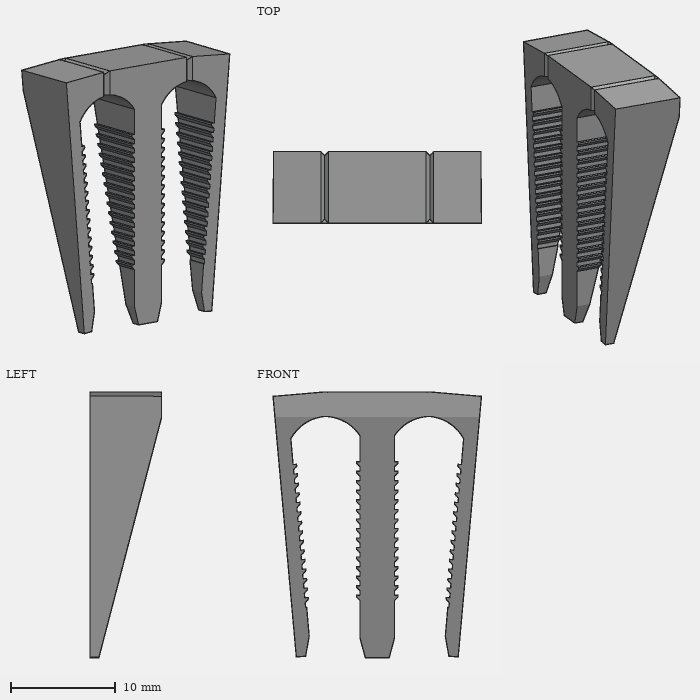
import cadquery as cq
import math

height = 25.35
half_width = 9.94
depth = 6.85

tine_half_width = 1.65
arch_half_span = 3.37
crown_depth = 2.35
spring_depth = 4.18
hinge_x = tine_half_width + arch_half_span

lean = math.radians(5.0)

outer_tine_length = 24.95
outer_tip_step = 0.1
tip_length = 1.88
tip_inset = 0.5

tooth_count = 15
toothed_length = 12.73
first_tooth_depth = 6.65
tooth_reach = 0.33
tooth_land = 0.18
tooth_pitch = toothed_length / (tooth_count - 1)

front_edge_depth = 2.43
tip_thickness = 0.85

side_draft = 0.05

groove_half_width = 0.38
groove_depth = 0.38


def leaned(x, z):
    """Turn a point of the upright outer tine inward about the arch crown."""
    dx = x - hinge_x
    dz = z + crown_depth
    return (
        hinge_x + dx * math.cos(lean) + dz * math.sin(lean),
        -crown_depth - dx * math.sin(lean) + dz * math.cos(lean),
    )


def upright(x, z):
    """Leave a point of the middle tine where it is."""
    return (x, z)


def toothed_edge(x, side, place):
    """Toothed part of a tine edge, from the top; side (1 or -1) is the X direction of the teeth."""
    points = []
    for i in range(tooth_count):
        z = -first_tooth_depth - i * tooth_pitch
        crest_x = x + side * tooth_reach
        points += [
            place(x, z),
            place(crest_x, z),
            place(crest_x, z - tooth_land),
            place(x, z - tooth_land - tooth_reach),
        ]
    return points


def tip_edge(x, length, side, place):
    """Tapered end of a tine edge, from the top."""
    return [place(x, tip_length - length), place(x - side * tip_inset, -length)]


def arch_point(angle):
    """Point of the upright arch, with the angle measured from its crown."""
    return (hinge_x + arch_radius * math.sin(angle), -crown_depth - arch_radius * (1 - math.cos(angle)))


arch_rise = spring_depth - crown_depth
arch_radius = (arch_half_span**2 + arch_rise**2) / (2 * arch_rise)
arch_half_angle = math.asin(arch_half_span / arch_radius)
crown = (hinge_x, -crown_depth)
outer_inner_x = hinge_x + arch_half_span
outer_x = hinge_x + (half_width - hinge_x - crown_depth * math.sin(lean)) / math.cos(lean)


def half_body():
    """The +X half: half of the middle tine, one arch and one outer tine."""
    middle_edge = toothed_edge(tine_half_width, 1, upright) + tip_edge(tine_half_width, height, 1, upright)
    step_z = -first_tooth_depth - tooth_count * tooth_pitch
    stepped_x = outer_inner_x - outer_tip_step
    outer_edge = (
        toothed_edge(outer_inner_x, -1, leaned)
        + [leaned(outer_inner_x, step_z), leaned(stepped_x, step_z)]
        + tip_edge(stepped_x, outer_tine_length, -1, leaned)
    )
    return (
        cq.Workplane("XZ", origin=(0, depth, 0))
        .moveTo(0, 0)
        .lineTo(0, -height)
        .lineTo(*middle_edge[-1])
        .polyline(middle_edge[-2::-1], includeCurrent=True)
        .lineTo(tine_half_width, -spring_depth)
        .threePointArc(arch_point(-arch_half_angle / 2), crown)
        .threePointArc(
            leaned(*arch_point(arch_half_angle / 2)),
            leaned(outer_inner_x, -spring_depth),
        )
        .polyline(outer_edge, includeCurrent=True)
        .lineTo(*leaned(outer_x, -outer_tine_length))
        .lineTo(*leaned(outer_x, 0))
        .lineTo(hinge_x, 0)
        .close()
        .extrude(depth)
    )


def side_wedge():
    """Sliver removed from the +X side to give it draft."""
    return (
        cq.Workplane("XY")
        .polyline([(outer_x, 0), (outer_x - side_draft, depth), (outer_x, depth)])
        .close()
        .extrude(-height)
        .rotate((hinge_x, 0, -crown_depth), (hinge_x, depth, -crown_depth), math.degrees(lean))
    )


def front_slope():
    """Wedge removed from the front so that the tines thin toward their tips."""
    return (
        cq.Workplane("YZ")
        .polyline([(0, -front_edge_depth), (depth - tip_thickness, -height), (0, -height)])
        .close()
        .extrude(half_width, both=True)
    )


def top_groove(x):
    """V groove along the top, ending at the front edge in a face as steep as its flanks."""
    full = (
        cq.Workplane("XZ", origin=(0, depth, 0))
        .polyline([(x - groove_half_width, 0), (x, -groove_depth), (x + groove_half_width, 0)])
        .close()
        .extrude(depth)
    )
    sloped_end = (
        cq.Workplane("YZ", origin=(x, 0, 0))
        .polyline([(0, 0), (groove_depth, -groove_depth), (0, -groove_depth)])
        .close()
        .extrude(groove_half_width, both=True)
    )
    return full.cut(sloped_end)


def back_groove(x):
    """V groove down the back, from the top through to the arch."""
    return (
        cq.Workplane("XY")
        .polyline([(x - groove_half_width, depth), (x, depth - groove_depth), (x + groove_half_width, depth)])
        .close()
        .extrude(-spring_depth)
    )


right_half = half_body().cut(side_wedge())
result = right_half.union(right_half.mirror("YZ")).cut(front_slope())
for groove_x in (-hinge_x, hinge_x):
    result = result.cut(top_groove(groove_x)).cut(back_groove(groove_x))